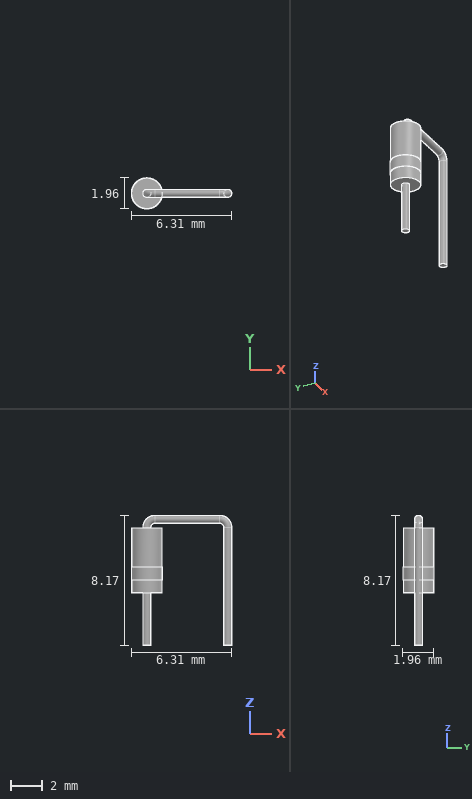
import cadquery as cq
import math

lead_diameter = 0.51
lead_pitch = 5.08
bend_radius = 0.51
lead_end_z = -3.0

body_diameter = 1.91
body_length = 4.07
body_bottom_z = 0.3

band_diameter = 1.96
band_length = body_length / 5
band_bottom_z = body_bottom_z + band_length

overall_height = 8.17
crossbar_z = lead_end_z + overall_height - lead_diameter / 2
bend_start_z = crossbar_z - bend_radius


def upright_cylinder(diameter, length, bottom_z):
    """Cylinder on the Z axis, standing on bottom_z."""
    return cq.Workplane("XY").workplane(offset=bottom_z).circle(diameter / 2).extrude(length)


def make_lead():
    """Straight through the body, over the top and down at the lead pitch."""
    bend_offset = bend_radius * (1 - math.cos(math.pi / 4))
    path = (
        cq.Workplane("XZ")
        .moveTo(0, lead_end_z)
        .lineTo(0, bend_start_z)
        .threePointArc((bend_offset, crossbar_z - bend_offset), (bend_radius, crossbar_z))
        .lineTo(lead_pitch - bend_radius, crossbar_z)
        .threePointArc(
            (lead_pitch - bend_offset, crossbar_z - bend_offset),
            (lead_pitch, bend_start_z),
        )
        .lineTo(lead_pitch, lead_end_z)
    )
    section = cq.Workplane("XY").workplane(offset=lead_end_z).circle(lead_diameter / 2)
    return section.sweep(path)


body = upright_cylinder(body_diameter, body_length, body_bottom_z)
band = upright_cylinder(band_diameter, band_length, band_bottom_z)

result = body.union(band).union(make_lead())